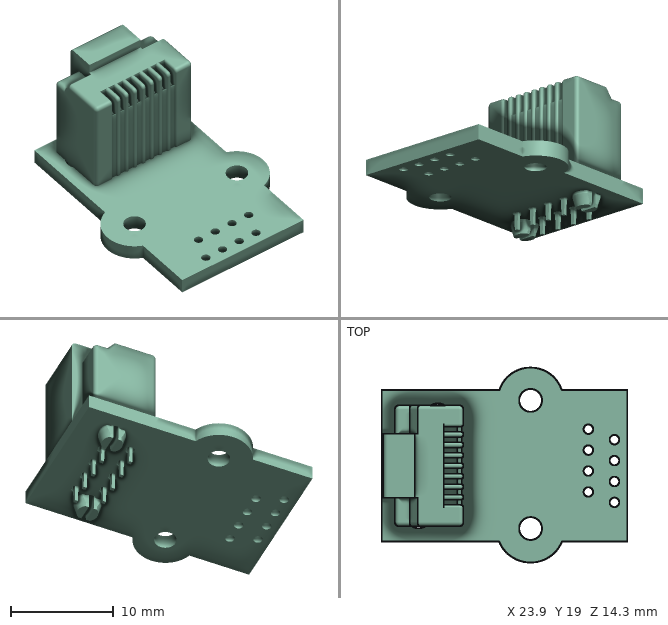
import cadquery as cq

BOARD_LENGTH = 23.88
BOARD_WIDTH = 14.73
BOARD_THICKNESS = 1.58
LOBE_X = 14.47
LOBES = [(6.35, 3.2), (-6.1, 3.32)]
MOUNTING_HOLE_DIAMETER = 2.2
PIN_HOLE_DIAMETER = 0.9
PEG_HOLE_DIAMETER = 2.36

CONTACT_COUNT = 8
ROW_PITCH = 2.03
CONTACT_PITCH = ROW_PITCH / 2
ROW_SPACING = 2.53
PIN_ROW_X = 3.6
FREE_HOLE_ROW_X = 20.08

STANDOFF = 0.05
HOUSING_LEFT = 1.3
HOUSING_RIGHT = 7.95
HOUSING_WIDTH = 11.75
HOUSING_HEIGHT = 10.03
SHELF_HEIGHT = 9.03
RAMP_BOTTOM_X = 2.72
RAMP_TOP_X = 3.5
TOWER_LEFT = 0.17
TOWER_RIGHT = 3.22
TOWER_WIDTH = 6.18
TOWER_HEIGHT = 11.03
EDGE_RADIUS = 0.4

SLOT_LEFT = 6.07
SLOT_WIDTH = CONTACT_PITCH / 2
SLOT_DEPTH = 1.9
SLOT_EDGE_RADIUS = 0.25
SELECTION_MARGIN = 0.02
CONTACT_BEND_X = 6.45
CONTACT_VALLEY_X = 7.35
CONTACT_END_X = 7.78
CONTACT_VALLEY_DROP = 0.35
CONTACT_END_DROP = 0.12

PIN_THICKNESS = 0.33
PIN_WIDTH = 0.48
PIN_TIP_WIDTH = 0.33
PIN_STRAIGHT = 0.2
PIN_PROTRUSION = 1.7

PEG_Y = 4.87
PEG_OFFSET_X = 1.86
PEG_CENTRES = [(PIN_ROW_X, -PEG_Y), (PIN_ROW_X + PEG_OFFSET_X, PEG_Y)]
PEG_DIAMETER = 1.95
PEG_PROTRUSION = 1.39
BARB_RADIUS = 1.35
BARB_TIP_RADIUS = 1.05
BARB_RIM = 0.29
PEG_SLOT_WIDTH = 0.53
PEG_TIP_CHAMFER_WIDTH = 0.12
PEG_TIP_CHAMFER_HEIGHT = 0.33


def contact_points(first_row_x):
    """Centres of the staggered contacts, from +Y to -Y, alternating between the two rows."""
    first_y = CONTACT_PITCH * (CONTACT_COUNT - 1) / 2
    return [
        (first_row_x + ROW_SPACING * (index % 2), first_y - CONTACT_PITCH * index)
        for index in range(CONTACT_COUNT)
    ]


def through_cylinders(points, diameter):
    """Cylinders as tall as the board is thick, for lobes and holes."""
    return (
        cq.Workplane("XY").workplane(offset=-BOARD_THICKNESS)
        .pushPoints(points).circle(diameter / 2).extrude(BOARD_THICKNESS)
    )


def make_board():
    board = cq.Workplane("XY").box(
        BOARD_LENGTH, BOARD_WIDTH, BOARD_THICKNESS, centered=(False, True, False)
    ).translate((0, 0, -BOARD_THICKNESS))
    for lobe_y, lobe_radius in LOBES:
        board = board.union(through_cylinders([(LOBE_X, lobe_y)], 2 * lobe_radius))
        board = board.cut(through_cylinders([(LOBE_X, lobe_y)], MOUNTING_HOLE_DIAMETER))
    board = board.cut(through_cylinders(PEG_CENTRES, PEG_HOLE_DIAMETER))
    for row_x in (PIN_ROW_X, FREE_HOLE_ROW_X):
        board = board.cut(through_cylinders(contact_points(row_x), PIN_HOLE_DIAMETER))
    return board


def make_shell():
    """Stepped main block with rounded outer edges."""
    shell = (
        cq.Workplane("XZ", origin=(0, HOUSING_WIDTH / 2, 0))
        .moveTo(HOUSING_LEFT, STANDOFF)
        .lineTo(HOUSING_RIGHT, STANDOFF)
        .lineTo(HOUSING_RIGHT, HOUSING_HEIGHT)
        .lineTo(RAMP_TOP_X, HOUSING_HEIGHT)
        .lineTo(RAMP_BOTTOM_X, SHELF_HEIGHT)
        .lineTo(HOUSING_LEFT, SHELF_HEIGHT)
        .close().extrude(HOUSING_WIDTH)
    )
    side_edges = shell.faces("<Y or >Y").edges("not <Z")
    end_edges = shell.edges("|Y").edges(">X or <X").edges("not <Z")
    return shell.newObject(side_edges.vals() + end_edges.vals()).fillet(EDGE_RADIUS)


def make_tower():
    """Raised key block with a lower step that fills the ramp beside it."""
    tower = (
        cq.Workplane("XZ", origin=(0, TOWER_WIDTH / 2, 0))
        .moveTo(TOWER_LEFT, STANDOFF)
        .lineTo(RAMP_TOP_X, STANDOFF)
        .lineTo(RAMP_TOP_X, HOUSING_HEIGHT)
        .lineTo(TOWER_RIGHT, HOUSING_HEIGHT)
        .lineTo(TOWER_RIGHT, TOWER_HEIGHT)
        .lineTo(TOWER_LEFT, TOWER_HEIGHT)
        .close().extrude(TOWER_WIDTH)
    )
    return tower.edges("<X and >Z").fillet(EDGE_RADIUS)


def make_slot(centre_y):
    """Clearance of one slot; its floor follows the bent contact and its open end runs to the underside."""
    floor = HOUSING_HEIGHT - SLOT_DEPTH
    valley = floor - CONTACT_VALLEY_DROP
    return (
        cq.Workplane("XZ", origin=(0, centre_y + SLOT_WIDTH / 2, 0))
        .moveTo(SLOT_LEFT, TOWER_HEIGHT)
        .lineTo(SLOT_LEFT, floor)
        .lineTo(CONTACT_BEND_X, floor)
        .tangentArcPoint((CONTACT_VALLEY_X, valley), relative=False)
        .lineTo(CONTACT_END_X, floor - CONTACT_END_DROP)
        .lineTo(CONTACT_END_X, STANDOFF)
        .lineTo(HOUSING_RIGHT, STANDOFF)
        .lineTo(HOUSING_RIGHT, TOWER_HEIGHT)
        .close().extrude(SLOT_WIDTH)
    )


def round_slot_edge(connector, wall_y):
    """Round the upper edge of one slot wall, including its curved run down to the right face."""
    edge_region = cq.selectors.BoxSelector(
        (SLOT_LEFT, wall_y - SELECTION_MARGIN, HOUSING_HEIGHT - EDGE_RADIUS),
        (HOUSING_RIGHT, wall_y + SELECTION_MARGIN, HOUSING_HEIGHT + SELECTION_MARGIN),
    )
    return connector.edges(edge_region).fillet(SLOT_EDGE_RADIUS)


def make_peg():
    """Split snap peg centred on X = Y = 0, hanging from the housing's underside."""
    tip_z = -BOARD_THICKNESS - PEG_PROTRUSION
    rim_z = -BOARD_THICKNESS - BARB_RIM
    peg = (
        cq.Workplane("XZ")
        .moveTo(0, STANDOFF)
        .lineTo(PEG_DIAMETER / 2, STANDOFF)
        .lineTo(PEG_DIAMETER / 2, -BOARD_THICKNESS)
        .lineTo(BARB_RADIUS, -BOARD_THICKNESS)
        .lineTo(BARB_RADIUS, rim_z)
        .lineTo(BARB_TIP_RADIUS, tip_z)
        .lineTo(0, tip_z)
        .close().revolve(360, (0, 0), (0, 1))
    )
    half_width = PEG_DIAMETER / 2
    tip_half_width = half_width - PEG_TIP_CHAMFER_WIDTH
    chamfer_z = tip_z + PEG_TIP_CHAMFER_HEIGHT
    flats = (
        cq.Workplane("YZ", origin=(-BARB_RADIUS, 0, 0))
        .polyline([
            (-half_width, STANDOFF), (-half_width, chamfer_z), (-tip_half_width, tip_z),
            (tip_half_width, tip_z), (half_width, chamfer_z), (half_width, STANDOFF),
        ])
        .close().extrude(2 * BARB_RADIUS)
    )
    split = cq.Workplane("XY").box(
        PEG_SLOT_WIDTH, 2 * BARB_RADIUS, STANDOFF - tip_z, centered=(True, True, False)
    ).translate((0, 0, tip_z))
    return peg.intersect(flats).cut(split)


def make_pin():
    """Contact pin centred on X = Y = 0 that tapers in width below the board."""
    taper_z = -BOARD_THICKNESS - PIN_STRAIGHT
    tip_z = -BOARD_THICKNESS - PIN_PROTRUSION
    return (
        cq.Workplane("YZ", origin=(-PIN_THICKNESS / 2, 0, 0))
        .polyline([
            (-PIN_WIDTH / 2, STANDOFF), (-PIN_WIDTH / 2, taper_z), (-PIN_TIP_WIDTH / 2, tip_z),
            (PIN_TIP_WIDTH / 2, tip_z), (PIN_WIDTH / 2, taper_z), (PIN_WIDTH / 2, STANDOFF),
        ])
        .close().extrude(PIN_THICKNESS)
    )


def make_connector():
    connector = make_shell().union(make_tower())
    points = contact_points(PIN_ROW_X)
    for _, y in points:
        connector = connector.cut(make_slot(y))
    for _, y in points:
        for side in (-1, 1):
            connector = round_slot_edge(connector, y + side * SLOT_WIDTH / 2)
    for x, y in points:
        connector = connector.union(make_pin().translate((x, y, 0)))
    for x, y in PEG_CENTRES:
        connector = connector.union(make_peg().translate((x, y, 0)))
    return connector


board = make_board()
connector = make_connector()

result = cq.Compound.makeCompound([board.solids().val(), connector.solids().val()])